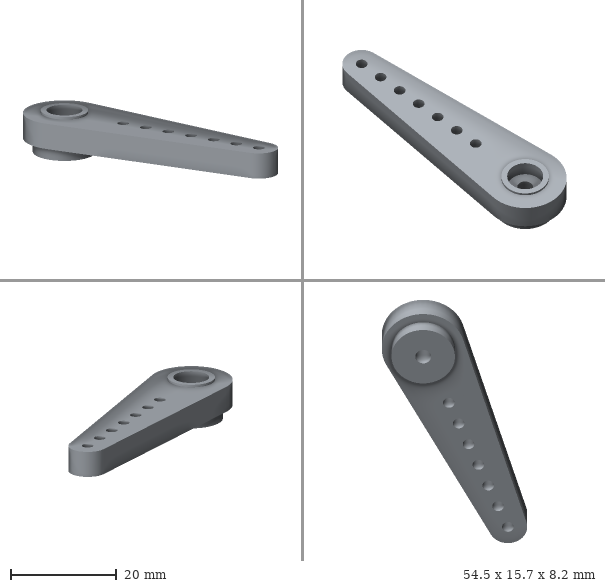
import cadquery as cq
import math

hub_radius = 7.85
tip_radius = 3.65
tip_distance = 43.0
arm_thickness = 5.0

boss_radius = 6.0
boss_height = 2.7
ring_radius = 4.5
ring_height = 0.5

screw_radius = 1.5
counterbore_radius = 3.4
counterbore_depth = 3.0

linkage_hole_radius = 1.1
linkage_hole_count = 7
linkage_hole_pitch = 5.0

ring_top = arm_thickness + ring_height
total_height = boss_height + ring_top


def cylinder(radius, bottom, height, x=0.0):
    """Upright cylinder standing at the given X on the long axis."""
    return cq.Workplane("XY", origin=(x, 0, bottom)).circle(radius).extrude(height)


def make_arm():
    """Plate bounded by the hub and tip arcs and their two common tangents."""
    tangent_cos = (hub_radius - tip_radius) / tip_distance
    tangent_sin = math.sqrt(1 - tangent_cos**2)
    hub_x = hub_radius * tangent_cos
    hub_y = hub_radius * tangent_sin
    tip_x = tip_distance + tip_radius * tangent_cos
    tip_y = tip_radius * tangent_sin
    return (
        cq.Workplane("XY")
        .moveTo(hub_x, hub_y)
        .threePointArc((-hub_radius, 0), (hub_x, -hub_y))
        .lineTo(tip_x, -tip_y)
        .threePointArc((tip_distance + tip_radius, 0), (tip_x, tip_y))
        .close()
        .extrude(arm_thickness)
    )


def add_hub(body):
    boss = cylinder(boss_radius, -boss_height, boss_height)
    ring = cylinder(ring_radius, arm_thickness, ring_height)
    return body.union(boss).union(ring)


def cut_screw_hole(body):
    through_hole = cylinder(screw_radius, -boss_height, total_height)
    counterbore = cylinder(counterbore_radius, ring_top - counterbore_depth, counterbore_depth)
    return body.cut(through_hole).cut(counterbore)


def cut_linkage_holes(body):
    for index in range(linkage_hole_count):
        x = tip_distance - index * linkage_hole_pitch
        body = body.cut(cylinder(linkage_hole_radius, 0, arm_thickness, x))
    return body


result = cut_linkage_holes(cut_screw_hole(add_hub(make_arm())))